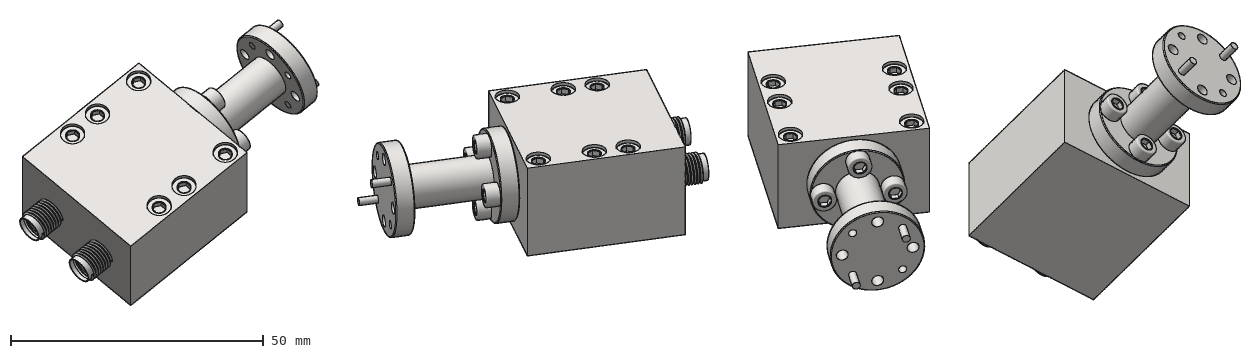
import cadquery as cq
import math

block_width = 30.5
block_length = 32.35
block_height = 20.35

head_diameter = 4.8
head_height = 2.8
head_fillet = 0.3
socket_across_corners = 2.8
socket_depth = 1.35
socket_mouth_depth = 0.2

lid_head_recess = 0.55
lid_screw_edge_distance = 3.05
lid_screw_spacings = [11.45, 6.9]

flange_diameter = 19.05
flange_thickness = 3.9
flange_chamfer = 0.2
tube_diameter = 8.9
tube_length = 17.5

bolt_circle_radius = 7.1
screw_hole_diameter = 2.4
dowel_diameter = 1.6
dowel_projection = 3.85

connector_spacing = 13.95
connector_drop = 0.3
connector_length = 6.25
connector_diameter = 5.5
connector_bore_diameter = 5.1
connector_bore_depth = 1.8
contact_hole_diameter = 0.2
contact_hole_depth = 0.7
thread_diameter = 6.4
thread_pitch = 0.65
thread_length = 5.2
thread_base_width = 0.55
thread_overlap = 0.1

near_flange_start = block_length
near_flange_end = near_flange_start + flange_thickness
far_flange_start = near_flange_end + tube_length

screw_hole_angles = [0, 90, 180, 270]
open_dowel_angles = [45, 225]
pin_angles = [135, 315]


def cylinder_along_y(diameter, start, length, x=0.0, z=0.0):
    """Cylinder growing toward +Y from the plane y = start."""
    return cq.Workplane(cq.Solid.makeCylinder(
        diameter / 2, length, cq.Vector(x, start, z), cq.Vector(0, 1, 0)))


def on_bolt_circle(angle):
    """X and Z of a point on the flange bolt circle."""
    turn = math.radians(angle)
    return bolt_circle_radius * math.cos(turn), bolt_circle_radius * math.sin(turn)


def screw_head():
    """Screw head standing on the XY plane, with a round-mouthed hexagon socket in its top."""
    head = cq.Workplane("XY").circle(head_diameter / 2).extrude(head_height)
    head = head.faces(">Z").fillet(head_fillet)
    socket = (
        cq.Workplane("XY")
        .workplane(offset=head_height - socket_depth)
        .polygon(6, socket_across_corners)
        .extrude(socket_depth)
    )
    mouth = (
        cq.Workplane("XY")
        .workplane(offset=head_height - socket_mouth_depth)
        .circle(socket_across_corners / 2)
        .extrude(socket_mouth_depth)
    )
    return head.cut(socket).cut(mouth)


def lid_screw_positions():
    """X and Y of the lid screws, from the +Y end of the block to the -Y end."""
    x = block_width / 2 - lid_screw_edge_distance
    y = block_length - lid_screw_edge_distance
    rows = [y]
    for spacing in lid_screw_spacings:
        y -= spacing
        rows.append(y)
    return [(side * x, row) for row in rows for side in (-1, 1)]


def make_housing():
    """Block with its sunk lid screw heads, which are one solid with it."""
    block = cq.Workplane("XY").box(
        block_width, block_length, block_height, centered=(True, False, True))
    floor_z = block_height / 2 - lid_head_recess - head_height
    for x, y in lid_screw_positions():
        counterbore = (
            cq.Workplane("XY", origin=(x, y, floor_z))
            .circle(head_diameter / 2)
            .extrude(lid_head_recess + head_height)
        )
        block = block.cut(counterbore).union(screw_head().translate((x, y, floor_z)))
    return block


def make_flange(start, hole_diameters):
    """Chamfered disc with one through hole per (angle, diameter) pair."""
    flange = cylinder_along_y(flange_diameter, start, flange_thickness)
    flange = flange.faces("<Y or >Y").edges().chamfer(flange_chamfer)
    for angle, diameter in hole_diameters:
        x, z = on_bolt_circle(angle)
        flange = flange.cut(cylinder_along_y(diameter, start, flange_thickness, x, z))
    return flange


def make_waveguide():
    """Tube and both flanges; the far flange also carries the dowel holes."""
    screw_holes = [(angle, screw_hole_diameter) for angle in screw_hole_angles]
    dowel_holes = [(angle, dowel_diameter) for angle in open_dowel_angles + pin_angles]
    near_flange = make_flange(near_flange_start, screw_holes)
    far_flange = make_flange(far_flange_start, screw_holes + dowel_holes)
    tube = cylinder_along_y(tube_diameter, near_flange_end, tube_length)
    return near_flange.union(tube).union(far_flange)


def make_flange_screw(angle):
    """Screw whose head rests on the near flange and whose shank fills the flange hole."""
    x, z = on_bolt_circle(angle)
    head = screw_head().rotate((0, 0, 0), (1, 0, 0), -90).translate((x, near_flange_end, z))
    shank = cylinder_along_y(screw_hole_diameter, near_flange_start, flange_thickness, x, z)
    return head.union(shank)


def make_dowel_pin(angle):
    """Pin through the far flange, flush on the tube side."""
    x, z = on_bolt_circle(angle)
    return cylinder_along_y(dowel_diameter, far_flange_start, flange_thickness + dowel_projection, x, z)


def make_thread():
    """Helical V ridge around Z, its base sunk a little into the barrel."""
    base_radius = connector_diameter / 2 - thread_overlap
    crest_radius = thread_diameter / 2
    half_base = thread_base_width / 2
    helix = cq.Wire.makeHelix(thread_pitch, thread_length, base_radius)
    return (
        cq.Workplane("XZ")
        .moveTo(base_radius, -half_base)
        .lineTo(crest_radius, 0)
        .lineTo(base_radius, half_base)
        .close()
        .sweep(cq.Workplane(helix), isFrenet=True)
    )


def make_connector(x):
    """Threaded barrel standing on the -Y face of the block, bored at its free end."""
    barrel = cq.Workplane("XY").circle(connector_diameter / 2).extrude(connector_length)
    below_base = cq.Workplane("XY").circle(thread_diameter).extrude(-thread_pitch)
    barrel = barrel.union(make_thread().cut(below_base))
    bore = (
        cq.Workplane("XY")
        .workplane(offset=connector_length - connector_bore_depth)
        .circle(connector_bore_diameter / 2)
        .extrude(connector_bore_depth)
        .faces("<Z")
        .workplane()
        .circle(contact_hole_diameter / 2)
        .extrude(contact_hole_depth)
    )
    return barrel.cut(bore).rotate((0, 0, 0), (1, 0, 0), 90).translate((x, 0, -connector_drop))


housing = make_housing()
waveguide = make_waveguide()
flange_screws = [make_flange_screw(angle) for angle in screw_hole_angles]
dowel_pins = [make_dowel_pin(angle) for angle in pin_angles]
connectors = [make_connector(side * connector_spacing / 2) for side in (-1, 1)]

bodies = [housing, waveguide, *flange_screws, *dowel_pins, *connectors]
result = cq.Compound.makeCompound([body.val() for body in bodies])